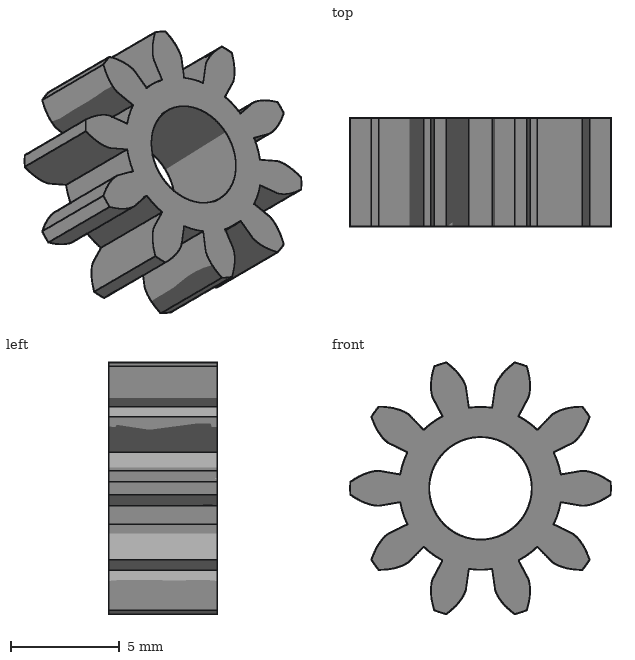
import cadquery as cq
import math

outer_diameter = 12.0
tooth_count = 10
face_width = 5.0
bore_diameter = 4.7
pressure_angle = math.radians(20)
dedendum_factor = 1.25
flank_steps = 8

module = outer_diameter / (tooth_count + 2)
outer_radius = outer_diameter / 2
pitch_radius = module * tooth_count / 2
root_radius = pitch_radius - dedendum_factor * module
base_radius = pitch_radius * math.cos(pressure_angle)

tooth_pitch_angle = 2 * math.pi / tooth_count


def involute_angle(angle):
    """Polar angle swept by an involute at the given pressure angle."""
    return math.tan(angle) - angle


base_half_angle = tooth_pitch_angle / 4 + involute_angle(pressure_angle)


def polar(radius, angle):
    """Point at the given radius and angle from the gear axis."""
    return (radius * math.cos(angle), radius * math.sin(angle))


def flank(center_angle, side):
    """Involute points from base circle to tip; side is -1 or +1."""
    tip_roll = math.sqrt((outer_radius / base_radius) ** 2 - 1)
    points = []
    for step in range(flank_steps + 1):
        roll = tip_roll * step / flank_steps
        radius = base_radius * math.sqrt(1 + roll ** 2)
        half_angle = base_half_angle - involute_angle(math.atan(roll))
        points.append(polar(radius, center_angle + side * half_angle))
    return points


def back_face():
    """Plane of the +Y face; extruding from it runs toward -Y, centred on Y = 0."""
    return cq.Workplane("XZ", origin=(0, face_width / 2, 0))


def gear_outline():
    outline = back_face().moveTo(*polar(root_radius, -base_half_angle))
    for index in range(tooth_count):
        center = index * tooth_pitch_angle
        rising = flank(center, -1)
        falling = flank(center, 1)[::-1]
        gap_middle = center + tooth_pitch_angle / 2
        next_tooth_start = center + tooth_pitch_angle - base_half_angle

        outline = outline.lineTo(*rising[0])
        outline = outline.spline(rising[1:], includeCurrent=True)
        outline = outline.threePointArc(polar(outer_radius, center), falling[0])
        outline = outline.spline(falling[1:], includeCurrent=True)
        outline = outline.lineTo(*polar(root_radius, center + base_half_angle))
        outline = outline.threePointArc(
            polar(root_radius, gap_middle), polar(root_radius, next_tooth_start)
        )
    return outline.close()


gear = gear_outline().extrude(face_width)
bore = back_face().circle(bore_diameter / 2).extrude(face_width)

result = gear.cut(bore)